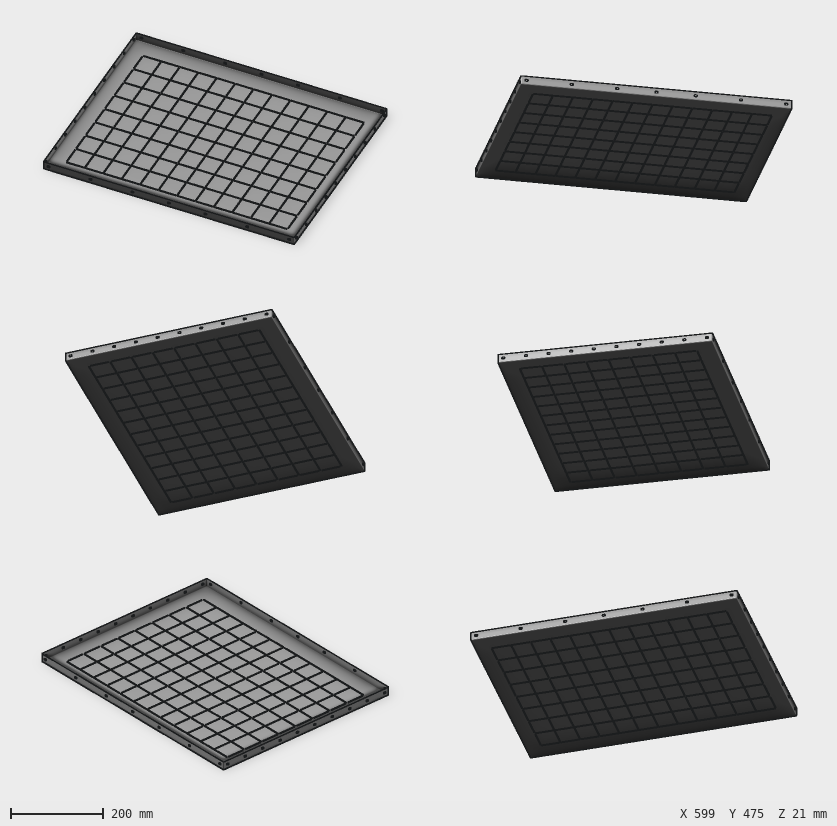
import cadquery as cq
length = 599.0
width = 475.0
height = 21.0
sheet = 1.1
bend_radius = 2.5

columns = 12
rows = 8
grid_length = 528.0
grid_width = 392.0
cell_length = grid_length / columns
cell_width = grid_width / rows

slit_gap = 3.0
slit_length = cell_length - slit_gap
slit_width = 2.0

hole_length = 6.5
hole_height = 4.0
hole_level = 11.5

inner_hole_offset = 87.0
outer_hole_pitch = 100.0
outer_hole_count = 3

short_wall_hole_count = 10
short_wall_hole_span = 450.0


def centred_row(count, pitch):
    """Evenly spaced places with their middle at zero."""
    return [(i - (count - 1) / 2) * pitch for i in range(count)]


def tray():
    """Open tray of thin sheet, rounded at the floor bends and the upright corners."""
    block = cq.Workplane("XY").box(length, width, height, centered=(True, True, False))
    rounded = block.edges("|Z or <Z").fillet(bend_radius)
    return rounded.faces(">Z").shell(-sheet)


def floor_slits():
    """One slit centred on every cell side, ending short of the grid crossings."""
    along_x = [
        (x, y)
        for x in centred_row(columns, cell_length)
        for y in centred_row(rows + 1, cell_width)
    ]
    along_y = [
        (x, y)
        for x in centred_row(columns + 1, cell_length)
        for y in centred_row(rows, cell_width)
    ]
    slits_x = cq.Workplane("XY").pushPoints(along_x).rect(slit_length, slit_width).extrude(height)
    slits_y = cq.Workplane("XY").pushPoints(along_y).rect(slit_width, slit_length).extrude(height)
    return slits_x.add(slits_y).combine()


def wall_holes(plane, places, reach):
    """Oblong holes at one level, cut straight through both opposite walls."""
    centres = [(place, hole_level) for place in places]
    return cq.Workplane(plane).pushPoints(centres).slot2D(hole_length, hole_height).extrude(reach, both=True)


def long_wall_holes():
    """Middle hole and mirrored outer holes of the two walls along X."""
    offsets = [inner_hole_offset + i * outer_hole_pitch for i in range(outer_hole_count)]
    places = [0.0] + offsets + [-offset for offset in offsets]
    return wall_holes("XZ", places, width)


def short_wall_holes():
    """Evenly spaced holes of the two walls along Y."""
    pitch = short_wall_hole_span / (short_wall_hole_count - 1)
    return wall_holes("YZ", centred_row(short_wall_hole_count, pitch), length)


result = tray().cut(floor_slits()).cut(long_wall_holes()).cut(short_wall_holes())